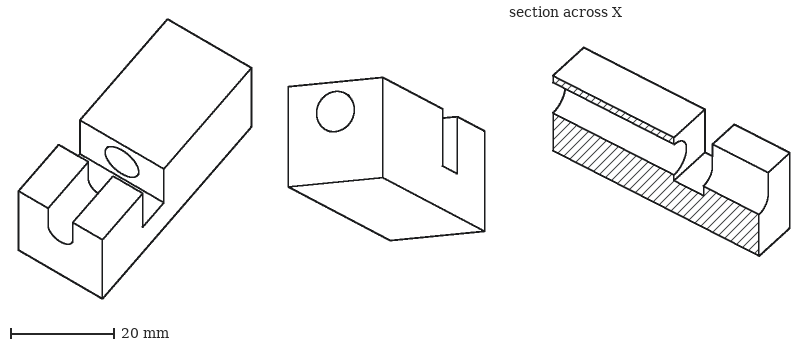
import cadquery as cq

width = 20.0
length = 50.0
height = 20.0

notch_front = 13.5
notch_back = 20.6
notch_floor = 8.6

slot_width = 5.85
slot_bottom = 11.1
slot_radius = slot_width / 2
slot_axis = slot_bottom + slot_radius

bore_diameter = 8.0
bore_top = 18.1
bore_axis = bore_top - bore_diameter / 2


def box_between(x_size, y_start, y_end, z_start, z_end):
    """Box centred on X, spanning the given Y and Z ranges."""
    return (
        cq.Workplane("XY")
        .box(x_size, y_end - y_start, z_end - z_start, centered=(True, False, False))
        .translate((0, y_start, z_start))
    )


def cylinder_along_y(diameter, axis_height, y_start, y_end):
    """Cylinder on the X centre plane, running along Y."""
    return (
        cq.Workplane("XZ", origin=(0, y_start, axis_height))
        .circle(diameter / 2)
        .extrude(-(y_end - y_start))
    )


block = box_between(width, 0, length, 0, height)
notch = box_between(width, notch_front, notch_back, notch_floor, height)
slot = box_between(slot_width, 0, notch_front, slot_axis, height).union(
    cylinder_along_y(slot_width, slot_axis, 0, notch_front)
)
bore = cylinder_along_y(bore_diameter, bore_axis, notch_back, length)

result = block.cut(notch).cut(slot).cut(bore)